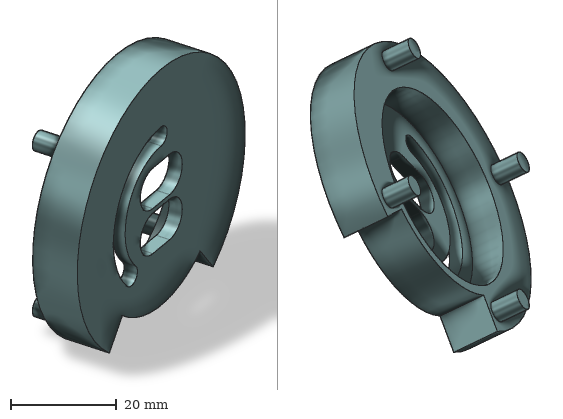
import cadquery as cq
import math

outer_radius = 29.95
disc_thickness = 10.0
pocket_radius = 20.5
pocket_depth = 7.0

rim_wall = 2.0
notch_radius = pocket_radius + rim_wall
tip_drop = 23.55

pin_diameter = 4.2
pin_length = 6.0
pin_offset = 18.4

slot_length = 15.0
slot_height = 9.0
slot_spacing = 10.0

arc_slot_radius = 15.0
arc_slot_width = 4.2
arc_start = 90.0
arc_end = -45.0


def face_plane(x=0.0):
    """Plane facing +X at the given x; local axes are Y and Z."""
    return cq.Workplane("YZ", origin=(x, 0, 0))


def polar(radius, degrees):
    """Point on a circle, with 0 degrees toward -Y and 90 degrees up."""
    angle = math.radians(degrees)
    return (-radius * math.cos(angle), radius * math.sin(angle))


def make_disc():
    tip_angle = -math.degrees(math.asin(tip_drop / outer_radius))
    opposite_angle = -180 - tip_angle
    return (
        face_plane()
        .moveTo(*polar(outer_radius, tip_angle))
        .threePointArc(polar(outer_radius, 90), polar(outer_radius, opposite_angle))
        .lineTo(*polar(notch_radius, opposite_angle))
        .threePointArc(polar(notch_radius, -90), polar(notch_radius, tip_angle))
        .close()
        .extrude(disc_thickness)
    )


def make_pocket():
    return face_plane().circle(pocket_radius).extrude(pocket_depth)


def make_pins():
    side = 2 * pin_offset
    return (
        face_plane(-pin_length)
        .rect(side, side, forConstruction=True)
        .vertices()
        .circle(pin_diameter / 2)
        .extrude(pin_length)
    )


def make_straight_slots():
    return (
        face_plane()
        .rarray(0.6, slot_spacing, 1, 2)
        .slot2D(slot_length, slot_height)
        .extrude(disc_thickness)
    )


def make_arc_slot():
    inner = arc_slot_radius - arc_slot_width / 2
    outer = arc_slot_radius + arc_slot_width / 2
    middle = (arc_start + arc_end) / 2
    cap_turn = math.degrees(arc_slot_width / 2 / arc_slot_radius)
    return (
        face_plane()
        .moveTo(*polar(outer, arc_start))
        .threePointArc(polar(outer, middle), polar(outer, arc_end))
        .threePointArc(polar(arc_slot_radius, arc_end - cap_turn), polar(inner, arc_end))
        .threePointArc(polar(inner, middle), polar(inner, arc_start))
        .threePointArc(polar(arc_slot_radius, arc_start + cap_turn), polar(outer, arc_start))
        .close()
        .extrude(disc_thickness)
    )


result = (
    make_disc()
    .cut(make_pocket())
    .cut(make_straight_slots())
    .cut(make_arc_slot())
    .union(make_pins())
)